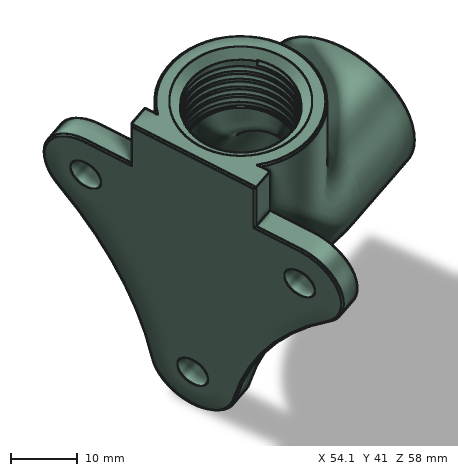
import cadquery as cq
import math

height = 58.0
depth = 41.0
edge_chamfer = 0.3

plate_thickness = 4.0
lug_radius = 7.8
lug_spacing = 38.5
lug_hole_diameter = 5.5
waist_radius = 54.0
waist_tilt = math.radians(30)
block_width = 22.5
low_lug_z = lug_radius
high_lug_z = low_lug_z + lug_spacing * math.sqrt(3) / 2
lug_centers = [(-lug_spacing / 2, high_lug_z), (lug_spacing / 2, high_lug_z), (0, low_lug_z)]

pipe_radius = 13.0
bore_radius = 8.7
bend_angle = 90
bend_clearance = 0.05
bend_radius = pipe_radius + bend_clearance
outlet_z = 30.05
bend_end_y = 2 * bend_radius
bend_end_z = outlet_z + bend_radius

thread_minor_radius = 9.1
thread_major_radius = 9.85
thread_pitch = 1.8
thread_depth = 11.9
groove_half_width = 0.7
groove_overlap = 0.2
mouth_radius = 10.75
mouth_depth = 1.15
thread_start_depth = 1.5
thread_turns = 5.3
thread_length = thread_turns * thread_pitch


def make_plate():
    """Lugged plate whose sides are concave arcs tangent to the lugs, plus the block on top."""
    reach = math.sqrt((waist_radius + lug_radius) ** 2 - (lug_spacing / 2) ** 2)
    waist_x = lug_spacing / 4 + reach * math.cos(waist_tilt)
    waist_z = (low_lug_z + high_lug_z) / 2 - reach * math.sin(waist_tilt)
    share = lug_radius / (lug_radius + waist_radius)
    high_x = lug_spacing / 2
    high_tangent = (high_x + share * (waist_x - high_x), high_lug_z + share * (waist_z - high_lug_z))
    low_tangent = (share * waist_x, low_lug_z + share * (waist_z - low_lug_z))
    waist_mid = (
        waist_x - waist_radius * math.cos(waist_tilt),
        waist_z + waist_radius * math.sin(waist_tilt),
    )
    lug_side = (high_x + lug_radius, high_lug_z)
    lug_top_z = high_lug_z + lug_radius

    def mirrored(point):
        return (-point[0], point[1])

    plate = (
        cq.Workplane("XZ")
        .moveTo(-block_width / 2, height)
        .lineTo(block_width / 2, height)
        .lineTo(block_width / 2, lug_top_z)
        .lineTo(high_x, lug_top_z)
        .threePointArc(lug_side, high_tangent)
        .threePointArc(waist_mid, low_tangent)
        .threePointArc((0, low_lug_z - lug_radius), mirrored(low_tangent))
        .threePointArc(mirrored(waist_mid), mirrored(high_tangent))
        .threePointArc(mirrored(lug_side), (-high_x, lug_top_z))
        .lineTo(-block_width / 2, lug_top_z)
        .close()
        .extrude(-plate_thickness)
    )
    return plate.faces("<Y").edges().chamfer(edge_chamfer)


def elbow(radius, end_chamfer=0):
    """Solid round elbow from the top mouth, around the bend, to the rear mouth."""
    upright = (
        cq.Workplane("XY", origin=(0, bend_radius, bend_end_z))
        .circle(radius)
        .extrude(height - bend_end_z)
    )
    outlet = (
        cq.Workplane("XZ", origin=(0, bend_end_y, outlet_z))
        .circle(radius)
        .extrude(-(depth - bend_end_y))
    )
    if end_chamfer:
        upright = upright.faces(">Z").chamfer(end_chamfer)
        outlet = outlet.faces(">Y").chamfer(end_chamfer)
    bend = (
        cq.Workplane("XY", origin=(0, bend_radius, bend_end_z))
        .circle(radius)
        .revolve(bend_angle, (0, bend_radius, 0), (1, bend_radius, 0))
    )
    return upright.union(bend).union(outlet)


def make_threaded_mouth():
    """Cutter for the thread's minor bore and the conical lead-in at the top."""
    profile = [
        (0, height),
        (mouth_radius, height),
        (thread_minor_radius, height - mouth_depth),
        (thread_minor_radius, height - thread_depth),
        (0, height - thread_depth),
    ]
    return (
        cq.Workplane("XZ")
        .polyline(profile)
        .close()
        .revolve(360, (0, 0), (0, 1))
        .translate((0, bend_radius, 0))
    )


def make_thread_groove():
    """Helical V-groove cutter."""
    bottom_z = height - thread_start_depth - thread_length
    inner_radius = thread_minor_radius - groove_overlap
    helix = cq.Wire.makeHelix(thread_pitch, thread_length, inner_radius)
    groove = (
        cq.Workplane("XZ")
        .polyline([
            (inner_radius, -groove_half_width),
            (thread_major_radius, 0),
            (inner_radius, groove_half_width),
        ])
        .close()
        .sweep(cq.Workplane(obj=helix), isFrenet=True)
    )
    return groove.translate((0, bend_radius, bottom_z))


def make_lug_holes():
    """Round cutters through the three lugs."""
    return (
        cq.Workplane("XZ")
        .pushPoints(lug_centers)
        .circle(lug_hole_diameter / 2)
        .extrude(-plate_thickness)
    )


result = (
    make_plate()
    .union(elbow(pipe_radius, edge_chamfer))
    .cut(elbow(bore_radius))
    .cut(make_threaded_mouth())
    .cut(make_thread_groove())
    .cut(make_lug_holes())
)